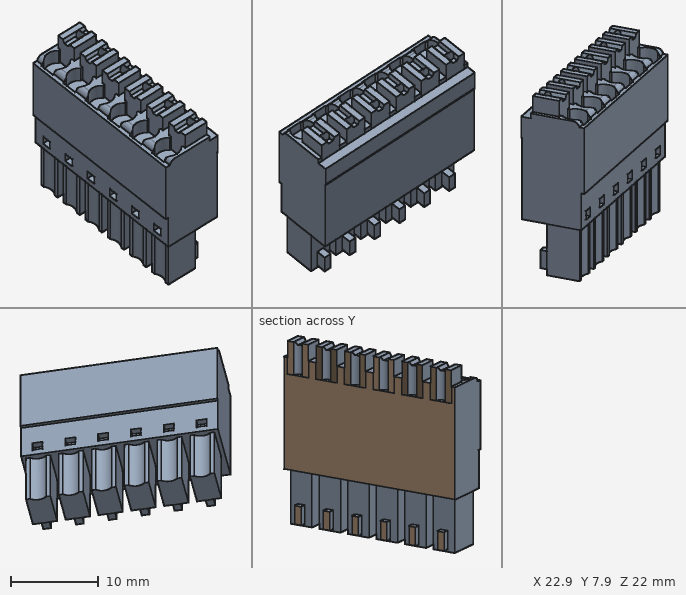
import cadquery as cq

POLES = 6
LENGTH = 22.85
PITCH = LENGTH / POLES

BLOCK_BOTTOM = 6.63
LIP_BOTTOM = 11.2
BACK_LIP_BOTTOM = 16.75
LEDGE_TOP = 19.4
SHOULDER_TOP = 20.03
DEPTH = 7.9
FRONT_LIP = 0.37
BACK_LIP = 0.1
FRONT_LEDGE_WIDTH = 0.57
SHOULDER_BACK = 6.68
SHOULDER_RADIUS = 0.8

WELL_RADIUS = 1.5
WELL_CENTRE_Y = 2.0
WELL_FLOOR = 18.05
WELL_SLOT_WIDTH = 2.01
WELL_SLOT_FRONT = 0.43

WINDOW_WIDTH = 1.2
WINDOW_HEIGHT = 1.1
WINDOW_BOTTOM = 7.4
WINDOW_DEPTH = 0.75

LEG_WIDTH = 2.83
LEG_FRONT = 0.8
LEG_BACK = 4.9
FLUTE_WIDTH = 1.85
FLUTE_DEPTH = 0.32
NUB_WIDTH = 0.91
NUB_BACK = 6.15
NUB_BOTTOM = 0.27
NUB_TOP = 2.54

BUTTON_WIDTH = 2.8
BUTTON_FRONT = 3.35
BUTTON_BACK = SHOULDER_BACK
BUTTON_TOP = 22.0
NOTCH_TOP_WIDTH = 1.12
NOTCH_BOTTOM_WIDTH = 0.62
NOTCH_DEPTH = 0.45
BUTTON_HOLE_DIAMETER = 1.1
BUTTON_HOLE_Y = 5.6

POLE_CENTRES = [PITCH * (i + 0.5) for i in range(POLES)]


def centred_box(x_centre, width, y_front, y_back, z_bottom, z_top):
    """Box centred on x_centre in X and set by its faces in Y and Z."""
    size = (width, y_back - y_front, z_top - z_bottom)
    corner = (x_centre - width / 2, y_front, z_bottom)
    return cq.Workplane("XY").box(*size, centered=False).translate(corner)


def housing_block():
    """Side outline of the block, extruded along the whole row."""
    back = DEPTH - BACK_LIP
    outline = (
        cq.Workplane("YZ")
        .moveTo(FRONT_LIP, BLOCK_BOTTOM)
        .lineTo(back, BLOCK_BOTTOM)
        .lineTo(back, BACK_LIP_BOTTOM)
        .lineTo(DEPTH, BACK_LIP_BOTTOM)
        .lineTo(DEPTH, LEDGE_TOP)
        .lineTo(0, LEDGE_TOP)
        .lineTo(0, LIP_BOTTOM)
        .lineTo(FRONT_LIP, LIP_BOTTOM)
        .close()
    )
    return outline.extrude(LENGTH)


def shoulder():
    """Raised strip on the block with a rounded front edge."""
    strip = centred_box(
        LENGTH / 2, LENGTH, FRONT_LEDGE_WIDTH, SHOULDER_BACK, LIP_BOTTOM, SHOULDER_TOP
    )
    return strip.edges("|X and >Z and <Y").fillet(SHOULDER_RADIUS)


def wire_entry(x):
    """Cutter for the round well and its slot in front of a button."""
    well = (
        cq.Workplane("XY", origin=(x, WELL_CENTRE_Y, WELL_FLOOR))
        .circle(WELL_RADIUS)
        .extrude(BUTTON_TOP - WELL_FLOOR)
    )
    slot = centred_box(
        x, WELL_SLOT_WIDTH, WELL_SLOT_FRONT, BUTTON_FRONT, WELL_FLOOR, BUTTON_TOP
    )
    return well.union(slot)


def button_pocket(x):
    """Cutter for the pocket that holds a button."""
    return centred_box(x, BUTTON_WIDTH, BUTTON_FRONT, BUTTON_BACK, WELL_FLOOR, BUTTON_TOP)


def window(x):
    """Cutter for the blind test opening in the lower front face."""
    return centred_box(
        x,
        WINDOW_WIDTH,
        FRONT_LIP,
        FRONT_LIP + WINDOW_DEPTH,
        WINDOW_BOTTOM,
        WINDOW_BOTTOM + WINDOW_HEIGHT,
    )


def leg(x):
    """Plug leg with a concave front groove and a coding nub at the back."""
    half_flute = FLUTE_WIDTH / 2
    left = x - LEG_WIDTH / 2
    right = x + LEG_WIDTH / 2
    shaft = (
        cq.Workplane("XY")
        .moveTo(left, LEG_BACK)
        .lineTo(left, LEG_FRONT)
        .lineTo(x - half_flute, LEG_FRONT)
        .threePointArc((x, LEG_FRONT + FLUTE_DEPTH), (x + half_flute, LEG_FRONT))
        .lineTo(right, LEG_FRONT)
        .lineTo(right, LEG_BACK)
        .close()
        .extrude(BLOCK_BOTTOM)
    )
    nub = centred_box(x, NUB_WIDTH, LEG_BACK, NUB_BACK, NUB_BOTTOM, NUB_TOP)
    return shaft.union(nub)


def make_housing():
    body = housing_block().union(shoulder())
    for x in POLE_CENTRES:
        body = body.union(leg(x))
        body = body.cut(wire_entry(x)).cut(button_pocket(x)).cut(window(x))
    return body


def make_button(x):
    """Release button with a tapered top notch and a vertical through hole."""
    body = centred_box(x, BUTTON_WIDTH, BUTTON_FRONT, BUTTON_BACK, WELL_FLOOR, BUTTON_TOP)
    notch = (
        cq.Workplane("XZ", origin=(x, BUTTON_BACK, BUTTON_TOP))
        .moveTo(-NOTCH_TOP_WIDTH / 2, 0)
        .lineTo(-NOTCH_BOTTOM_WIDTH / 2, -NOTCH_DEPTH)
        .lineTo(NOTCH_BOTTOM_WIDTH / 2, -NOTCH_DEPTH)
        .lineTo(NOTCH_TOP_WIDTH / 2, 0)
        .close()
        .extrude(BUTTON_BACK - BUTTON_FRONT)
    )
    hole = (
        cq.Workplane("XY", origin=(x, BUTTON_HOLE_Y, WELL_FLOOR))
        .circle(BUTTON_HOLE_DIAMETER / 2)
        .extrude(BUTTON_TOP - WELL_FLOOR)
    )
    return body.cut(notch).cut(hole)


housing = make_housing()
buttons = [make_button(x) for x in POLE_CENTRES]

result = cq.Compound.makeCompound([housing.val(), *[button.val() for button in buttons]])